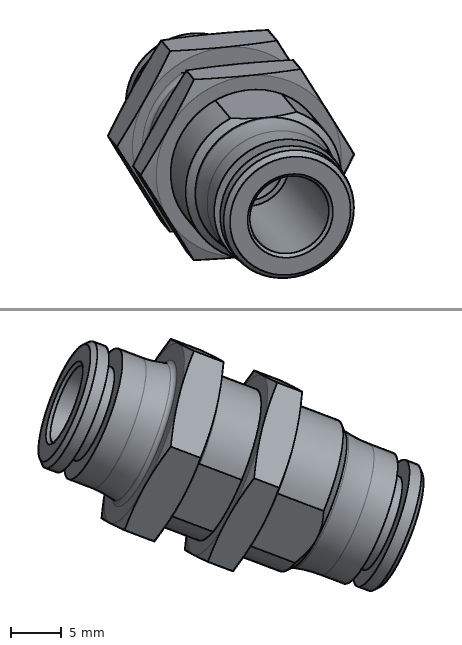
import cadquery as cq
import math

length = 36.2

across_flats = 19.0
hex_start = 8.65
hex_width = 4.02
hex_end = hex_start + hex_width
nut_start = 17.7
nut_width = 3.5
hex_chamfer_angle = 15.0

ring_radius = 6.7
ring_width = 1.77
ring_chamfer = 0.5
neck_radius = 4.95
neck_width = 1.38

collar_radius = 6.9
collar_start = ring_width + neck_width
flare_start = 5.7
flare_radius = 7.25
right_collar_start = 30.45
right_flare_end = 27.55

barrel_radius = 8.0
barrel_chamfer = barrel_radius - flare_radius
barrel_end = 26.6
flat_height = 7.25
root_fillet = 0.47
flare_end = hex_start - root_fillet

passage_radius = 3.48
socket_radius = 4.05
socket_depth = 14.48
mouth_chamfer = 0.33


def flare_mid_point(narrow_x, wide_x):
    """Halfway point of an arc that is tangent to the collar at narrow_x and reaches flare_radius at wide_x."""
    run = wide_x - narrow_x
    rise = flare_radius - collar_radius
    arc_radius = (run**2 + rise**2) / (2 * rise)
    mid_run = run / 2
    mid_rise = arc_radius - math.sqrt(arc_radius**2 - mid_run**2)
    return (narrow_x + mid_run, collar_radius + mid_rise)


def fillet_mid_point(centre_x, centre_radius, x_direction):
    """Halfway point of a concave quarter circle, on the axis side of its centre."""
    offset = root_fillet / math.sqrt(2)
    return (centre_x + x_direction * offset, centre_radius - offset)


def revolve_about_x(profile):
    return profile.close().revolve(360, (0, 0, 0), (1, 0, 0))


def make_hexagon(start, width):
    """Hexagonal prism along X with both ends turned to a cone."""
    corner_radius = across_flats / math.sqrt(3)
    face_radius = across_flats / 2
    chamfer_width = (corner_radius - face_radius) * math.tan(math.radians(hex_chamfer_angle))
    prism = (
        cq.Workplane("YZ")
        .workplane(offset=start)
        .polygon(6, 2 * corner_radius)
        .extrude(width)
    )
    turned_blank = revolve_about_x(
        cq.Workplane("XY")
        .moveTo(start, 0)
        .lineTo(start, face_radius)
        .lineTo(start + chamfer_width, corner_radius)
        .lineTo(start + width - chamfer_width, corner_radius)
        .lineTo(start + width, face_radius)
        .lineTo(start + width, 0)
    )
    return prism.intersect(turned_blank)


def make_left_end():
    """Ring, neck and flared collar up to the hexagon."""
    fillet_top = flare_radius + root_fillet
    return revolve_about_x(
        cq.Workplane("XY")
        .moveTo(0, 0)
        .lineTo(0, ring_radius - ring_chamfer)
        .lineTo(ring_chamfer, ring_radius)
        .lineTo(ring_width, ring_radius)
        .lineTo(ring_width, neck_radius)
        .lineTo(collar_start, neck_radius)
        .lineTo(collar_start, collar_radius)
        .lineTo(flare_start, collar_radius)
        .threePointArc(flare_mid_point(flare_start, flare_end), (flare_end, flare_radius))
        .threePointArc(fillet_mid_point(flare_end, fillet_top, 1), (hex_start, fillet_top))
        .lineTo(hex_start, 0)
    )


def make_barrel():
    """Barrel with two flats, filleted into the hexagon and chamfered at its free end."""
    fillet_top = barrel_radius + root_fillet
    fillet_end = hex_end + root_fillet
    chamfer_end = barrel_end + barrel_chamfer
    barrel = revolve_about_x(
        cq.Workplane("XY")
        .moveTo(hex_end, 0)
        .lineTo(hex_end, fillet_top)
        .threePointArc(fillet_mid_point(fillet_end, fillet_top, -1), (fillet_end, barrel_radius))
        .lineTo(barrel_end, barrel_radius)
        .lineTo(chamfer_end, flare_radius)
        .lineTo(right_flare_end, flare_radius)
        .lineTo(right_flare_end, 0)
    )
    flat_sides = (
        cq.Workplane("YZ")
        .workplane(offset=hex_end)
        .rect(2 * fillet_top, 2 * flat_height)
        .extrude(right_flare_end - hex_end)
    )
    return barrel.intersect(flat_sides)


def make_right_end():
    """Flared collar, neck and ring beyond the barrel."""
    ring_start = length - ring_width
    return revolve_about_x(
        cq.Workplane("XY")
        .moveTo(right_flare_end, 0)
        .lineTo(right_flare_end, flare_radius)
        .threePointArc(
            flare_mid_point(right_collar_start, right_flare_end),
            (right_collar_start, collar_radius),
        )
        .lineTo(length - collar_start, collar_radius)
        .lineTo(length - collar_start, neck_radius)
        .lineTo(ring_start, neck_radius)
        .lineTo(ring_start, ring_radius)
        .lineTo(length - ring_chamfer, ring_radius)
        .lineTo(length, ring_radius - ring_chamfer)
        .lineTo(length, 0)
    )


def make_bore():
    """Through passage with a tube socket and a chamfered mouth at each end."""
    return revolve_about_x(
        cq.Workplane("XY")
        .moveTo(0, 0)
        .lineTo(0, socket_radius + mouth_chamfer)
        .lineTo(mouth_chamfer, socket_radius)
        .lineTo(socket_depth, socket_radius)
        .lineTo(socket_depth, passage_radius)
        .lineTo(length - socket_depth, passage_radius)
        .lineTo(length - socket_depth, socket_radius)
        .lineTo(length - mouth_chamfer, socket_radius)
        .lineTo(length, socket_radius + mouth_chamfer)
        .lineTo(length, 0)
    )


def make_housing():
    return (
        make_left_end()
        .union(make_hexagon(hex_start, hex_width))
        .union(make_barrel())
        .union(make_right_end())
        .cut(make_bore())
    )


def make_nut():
    """Hexagon nut whose round bore fits the barrel."""
    bore = (
        cq.Workplane("YZ")
        .workplane(offset=nut_start)
        .circle(barrel_radius)
        .extrude(nut_width)
    )
    return make_hexagon(nut_start, nut_width).cut(bore)


housing = make_housing()
nut = make_nut()
result = cq.Compound.makeCompound([housing.solids().val(), nut.solids().val()])